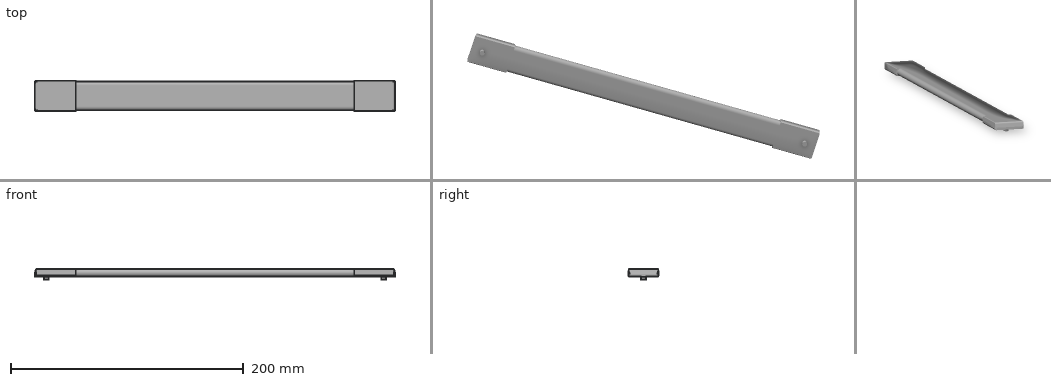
import cadquery as cq

total_length = 310.0
total_width = 26.5
body_height = 6.5
pin_drop = 2.88

bar_width = 24.8

cap_length = 35.3
corner_radius = 2.0
end_rim_height = 2.2
end_lean = 1.0
end_round = 1.5
side_rim_height = 1.2
side_undercut = 0.8
side_lean = 0.4
side_round = 0.5

pin_diameter = 4.3
pin_end_distance = 10.0
pin_hole_depth = 3.0

bottom_z = pin_drop
top_z = bottom_z + body_height
end_x = total_length / 2
cap_inner_x = end_x - cap_length
pin_x = end_x - pin_end_distance


def make_bar():
    """Flat bar with half-round long edges, butting against both caps."""
    return (
        cq.Workplane("YZ", origin=(-cap_inner_x, 0, bottom_z + body_height / 2))
        .slot2D(bar_width, body_height)
        .extrude(2 * cap_inner_x)
    )


def make_end_profile():
    """Cap outline along X, carried across the full width."""
    return (
        cq.Workplane("XZ", origin=(0, total_width / 2, 0))
        .moveTo(cap_inner_x, bottom_z)
        .lineTo(end_x, bottom_z)
        .lineTo(end_x, bottom_z + end_rim_height)
        .lineTo(end_x - end_lean, top_z)
        .lineTo(cap_inner_x, top_z)
        .close()
        .extrude(total_width)
        .faces(">Z")
        .edges(">X")
        .fillet(end_round)
    )


def make_side_profile():
    """Cap outline across Y, carried along the cap length."""
    half_width = total_width / 2
    half_outline = [
        (half_width - side_undercut, bottom_z),
        (half_width, bottom_z + side_rim_height),
        (half_width - side_lean, top_z),
    ]
    mirrored_outline = [(-y, z) for y, z in reversed(half_outline)]
    return (
        cq.Workplane("YZ", origin=(cap_inner_x, 0, 0))
        .polyline(half_outline + mirrored_outline)
        .close()
        .extrude(cap_length)
        .faces(">Z")
        .edges("|X")
        .fillet(side_round)
    )


def make_plan_profile():
    """Cap outline from above, with rounded outer corners."""
    return (
        cq.Workplane("XY", origin=(cap_inner_x + cap_length / 2, 0, bottom_z))
        .rect(cap_length, total_width)
        .extrude(body_height)
        .edges("|Z and >X")
        .fillet(corner_radius)
    )


def make_cap(pin):
    """Right-hand cap: what its three outlines have in common, with a hole for the pin."""
    cap = make_end_profile().intersect(make_side_profile()).intersect(make_plan_profile())
    return cap.cut(pin)


def make_pin():
    """Right-hand pin, standing in a blind hole in the underside of its cap."""
    return (
        cq.Workplane("XY", origin=(pin_x, 0, 0))
        .circle(pin_diameter / 2)
        .extrude(pin_drop + pin_hole_depth)
    )


bar = make_bar()
right_pin = make_pin()
right_cap = make_cap(right_pin)

bodies = [bar.val()]
for right_body in (right_cap, right_pin):
    left_body = right_body.mirror("YZ")
    bodies += [right_body.val(), left_body.val()]

result = cq.Compound.makeCompound(bodies)